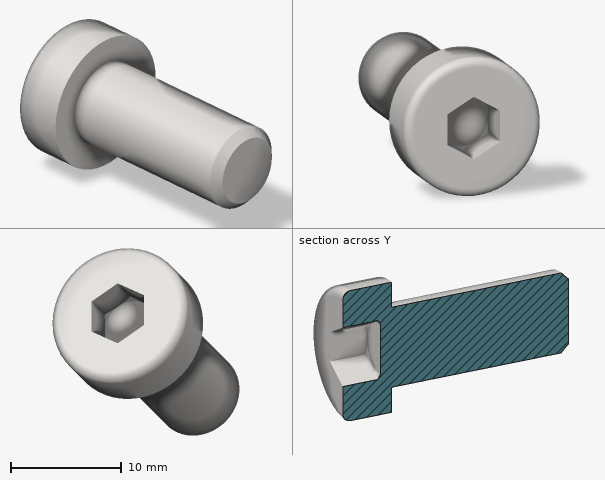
import cadquery as cq
import math

total_length = 23.0
head_diameter = 13.0
head_height = 5.0
head_edge_radius = 0.8
shank_diameter = 8.0
tip_chamfer = 0.8
neck_fillet_radius = 0.1

socket_across_flats = 5.04
socket_depth = 3.8
socket_taper_half_angle = 60.0

socket_across_corners = socket_across_flats / math.cos(math.radians(30))
socket_corner_radius = socket_across_corners / 2
socket_floor_radius = socket_across_flats / 2
socket_taper_width = socket_corner_radius - socket_floor_radius
socket_taper_depth = socket_taper_width / math.tan(math.radians(socket_taper_half_angle))


def make_head():
    head = cq.Workplane("YZ").circle(head_diameter / 2).extrude(head_height)
    return head.faces("<X").edges().fillet(head_edge_radius)


def make_shank():
    shank = cq.Workplane("YZ").circle(shank_diameter / 2).extrude(total_length)
    return shank.faces(">X").edges().chamfer(tip_chamfer)


def make_socket():
    prism = (
        cq.Workplane("YZ")
        .transformed(rotate=(0, 0, 90))
        .polygon(6, socket_across_corners)
        .extrude(socket_depth)
    )
    envelope = cq.Workplane("YZ").circle(socket_corner_radius).extrude(socket_depth)
    envelope = envelope.faces(">X").edges().chamfer(socket_taper_depth, socket_taper_width)
    return prism.intersect(envelope)


def round_neck(screw):
    neck_selector = cq.selectors.BoxSelector(
        (head_height - neck_fillet_radius, -shank_diameter, -shank_diameter),
        (head_height + neck_fillet_radius, shank_diameter, shank_diameter),
        boundingbox=False,
    )
    neck_edge = screw.edges(neck_selector).edges(cq.selectors.RadiusNthSelector(0))
    return neck_edge.fillet(neck_fillet_radius)


screw_blank = round_neck(make_head().union(make_shank()))
result = screw_blank.cut(make_socket())